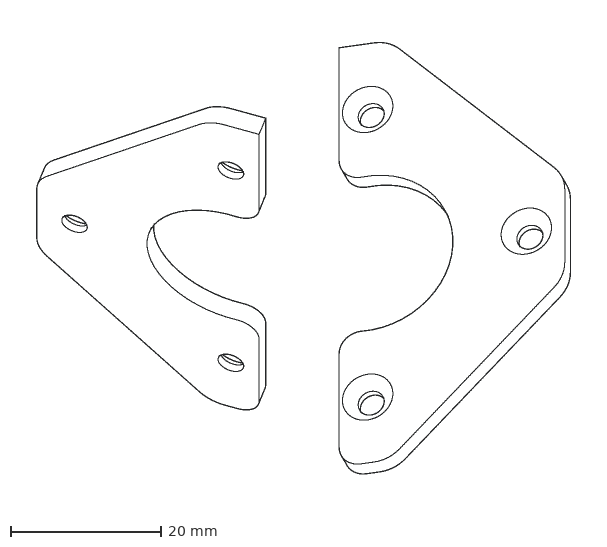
import cadquery as cq
import math

thickness = 2.8
height = 64.0
width = 31.2
right_edge = 4.0
bore_radius = 11.8
hole_diameter = 3.6
countersink_diameter = 7.0
countersink_angle = 90.0
hole_circle_radius = 21.95
slope_intercept = 34.95
slope_fillet = 5.0
corner_fillet = 3.0

half_height = height / 2
left_edge = right_edge - width
shoulder_x = half_height - slope_intercept
shoulder_z = slope_intercept + left_edge
mouth_z = math.sqrt(bore_radius**2 - right_edge**2)


def round_corners(plate, corners, radius):
    """Fillet the through-thickness edges at the given (x, z) corners."""
    reach = 0.05
    for x, z in corners:
        around_corner = cq.selectors.BoxSelector(
            (x - reach, -thickness, z - reach),
            (x + reach, thickness, z + reach),
        )
        plate = plate.edges("|Y").edges(around_corner).fillet(radius)
    return plate


def make_blank():
    """Plate with sharp corners, the bore breaking out through its open side."""
    return (
        cq.Workplane("XZ")
        .moveTo(right_edge, half_height)
        .lineTo(shoulder_x, half_height)
        .lineTo(left_edge, shoulder_z)
        .lineTo(left_edge, -shoulder_z)
        .lineTo(shoulder_x, -half_height)
        .lineTo(right_edge, -half_height)
        .lineTo(right_edge, -mouth_z)
        .threePointArc((-bore_radius, 0), (right_edge, mouth_z))
        .close()
        .extrude(thickness / 2, both=True)
    )


def cut_bolt_holes(plate):
    """Three holes a quarter turn apart around the bore, countersunk from the +Y face."""
    angles = [math.radians(degrees) for degrees in (90, 180, 270)]
    centres = [
        (hole_circle_radius * math.cos(angle), hole_circle_radius * math.sin(angle))
        for angle in angles
    ]
    back_face = cq.Plane(origin=(0, thickness / 2, 0), xDir=(-1, 0, 0), normal=(0, 1, 0))
    return (
        plate.copyWorkplane(cq.Workplane(back_face))
        .pushPoints([(-x, z) for x, z in centres])
        .cskHole(hole_diameter, countersink_diameter, countersink_angle)
    )


slope_corners = [
    (shoulder_x, half_height),
    (left_edge, shoulder_z),
    (left_edge, -shoulder_z),
    (shoulder_x, -half_height),
]
open_side_corners = [
    (right_edge, mouth_z),
    (right_edge, -mouth_z),
    (right_edge, -half_height),
]

result = make_blank()
result = round_corners(result, slope_corners, slope_fillet)
result = round_corners(result, open_side_corners, corner_fillet)
result = cut_bolt_holes(result)